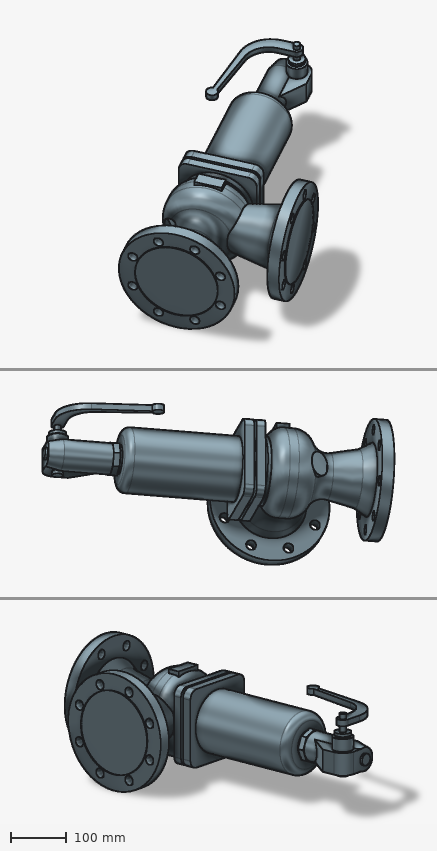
import cadquery as cq
import math


flange_radius = 220.0 / 2
flange_thickness = 24.5
raised_face_radius = 78.5
raised_face_height = 2.0
bolt_count = 8
bolt_hole_diameter = 18.0
bolt_circle_radius = 180.0 / 2
hub_radius = 67.5
overall_width = 285.0
center_to_face = overall_width - flange_radius

inlet_break_y = 48.0
inlet_break_radius = 53.5
throat_radius = 42.0
inlet_taper = 11.0
belly_radius = 81.5
belly_lower_arc = 40.0
belly_lower_y = 171.5
belly_lower_end_y = 136.0
belly_upper_arc = 31.0
belly_upper_y = 188.0
belly_top_y = 217.5
collar_radius = 63.0
collar_top_y = 224.5
collar_flare_radius = 68.0

outlet_break_x = 133.5
outlet_break_radius = 60.5
outlet_root_x = 19.0
outlet_root_radius = 37.5

square_half_width = 74.0
square_corner_radius = 17.0
lower_square_y = (231.5, 247.5)
upper_square_y = (252.5, 270.0)
gasket_radius = 67.5
bonnet_radius = 60.0
bonnet_top_y = 484.5
bonnet_fillet = 15.0

stem_neck_radius = 27.0
nut_y = (489.0, 501.0)
nut_sides = 8
nut_corner_radius = 32.0
cap_radius = 28.5
cap_cone_y = 592.5
cap_top_radius = 22.5
cap_top_y = 619.0
button_radius = 11.0
total_height = 623.5

ear_half_thickness = 21.0
ear_right_x = 55.0
ear_corner_radius = 25.0
ear_slope_top_y = 567.5
ear_tip = (18.0, 516.0)

shaft_x = 28.0
shaft_y = 592.5
shaft_radius = 6.0
shaft_top_z = 88.0
boss_radius = 19.5
boss_top_z = 45.0
gland_groove_radius = 14.0
washer_radius = 15.5
washer_z = (47.5, 53.5)
shaft_end_radius = 10.0
shaft_end_z = -28.5

lever_z = (67.0, 78.5)
lever_hub_radius = 23.0 / 2
lever_bend_x = -4.05
lever_outer_arc = 62.0
lever_outer_lean = 7.5
lever_inner_arc = 50.0
lever_inner_lean = 9.8
knob_x = -78.0
knob_y = 430.0
knob_radius = 22.0 / 2

plate_length = 52.5
plate_y = (177.0, 201.0)
plate_top_z = 85.5
drain_diameter = 45.0
drain_center = (-57.5, 128.5)
drain_tilt = 52.0
drain_depth = 37.5
drain_facing_clearance = 12.5


def point_on_arc(center, radius, degrees):
    angle = math.radians(degrees)
    return (center[0] + radius * math.cos(angle), center[1] + radius * math.sin(angle))


def disc(radius, y_start, y_end):
    """Cylinder on the valve axis between two heights."""
    return cq.Workplane("XZ").workplane(offset=-y_start).circle(radius).extrude(y_start - y_end)


def pin(radius, z_start, z_end):
    """Cylinder on the lever shaft axis between two Z levels."""
    plane = cq.Workplane("XY").workplane(offset=z_start)
    return plane.center(shaft_x, shaft_y).circle(radius).extrude(z_end - z_start)


def make_flange():
    """Flange on the valve axis with its sealing face at Y = 0."""
    flange = disc(flange_radius, raised_face_height, flange_thickness)
    flange = flange.union(disc(raised_face_radius, 0, raised_face_height))
    holes = (
        cq.Workplane("XZ")
        .polarArray(bolt_circle_radius, 180 / bolt_count, 360, bolt_count)
        .circle(bolt_hole_diameter / 2)
        .extrude(-flange_thickness)
    )
    return flange.cut(holes)


def make_body():
    """Inlet neck, belly and collar, revolved about the valve axis."""
    lower_center = (belly_radius - belly_lower_arc, belly_lower_y)
    lower_angle = math.degrees(math.asin((belly_lower_end_y - belly_lower_y) / belly_lower_arc))

    cosine = math.cos(math.radians(lower_angle))
    throat_arc = (lower_center[0] + belly_lower_arc * cosine - throat_radius) / (1 - cosine)
    throat_center = point_on_arc(lower_center, belly_lower_arc + throat_arc, lower_angle)
    throat_start_angle = 180 + inlet_taper
    throat_end_angle = 180 + lower_angle

    upper_center = (belly_radius - belly_upper_arc, belly_upper_y)
    upper_angle = math.degrees(math.asin((belly_top_y - belly_upper_y) / belly_upper_arc))

    profile = (
        cq.Workplane("XY")
        .moveTo(0, flange_thickness)
        .lineTo(hub_radius, flange_thickness)
        .lineTo(inlet_break_radius, inlet_break_y)
        .lineTo(*point_on_arc(throat_center, throat_arc, throat_start_angle))
        .threePointArc(
            point_on_arc(throat_center, throat_arc, (throat_start_angle + throat_end_angle) / 2),
            point_on_arc(throat_center, throat_arc, throat_end_angle),
        )
        .threePointArc(
            point_on_arc(lower_center, belly_lower_arc, lower_angle / 2),
            (belly_radius, belly_lower_y),
        )
        .lineTo(belly_radius, belly_upper_y)
        .threePointArc(
            point_on_arc(upper_center, belly_upper_arc, upper_angle / 2),
            point_on_arc(upper_center, belly_upper_arc, upper_angle),
        )
        .lineTo(collar_radius, belly_top_y)
        .lineTo(collar_radius, collar_top_y)
        .lineTo(collar_flare_radius, lower_square_y[0])
        .lineTo(0, lower_square_y[0])
        .close()
    )
    return profile.revolve(360, (0, 0, 0), (0, 1, 0))


def make_outlet():
    """Outlet neck and flange along +X."""
    flange_back_x = center_to_face - flange_thickness
    neck = (
        cq.Workplane("XY")
        .moveTo(outlet_root_x, center_to_face)
        .lineTo(outlet_root_x, center_to_face + outlet_root_radius)
        .lineTo(outlet_break_x, center_to_face + outlet_break_radius)
        .lineTo(flange_back_x, center_to_face + hub_radius)
        .lineTo(flange_back_x, center_to_face)
        .close()
        .revolve(360, (0, center_to_face, 0), (1, center_to_face, 0))
    )
    flange = make_flange().rotate((0, 0, 0), (0, 0, 1), 90)
    return neck.union(flange.translate((center_to_face, center_to_face, 0)))


def make_square_flange(y_range):
    thickness = y_range[1] - y_range[0]
    return (
        cq.Workplane("XZ")
        .workplane(offset=-y_range[0])
        .rect(2 * square_half_width, 2 * square_half_width)
        .extrude(-thickness)
        .edges("|Y")
        .fillet(square_corner_radius)
    )


def make_bonnet():
    barrel = disc(bonnet_radius, upper_square_y[1], bonnet_top_y)
    bonnet = barrel.faces(">Y").edges().fillet(bonnet_fillet)
    bonnet = bonnet.union(make_square_flange(lower_square_y))
    bonnet = bonnet.union(make_square_flange(upper_square_y))
    return bonnet.union(disc(gasket_radius, lower_square_y[1], upper_square_y[0]))


def make_cap():
    nut = (
        cq.Workplane("XZ")
        .workplane(offset=-nut_y[0])
        .polygon(nut_sides, 2 * nut_corner_radius)
        .extrude(nut_y[0] - nut_y[1])
    )
    shell = (
        cq.Workplane("XY")
        .moveTo(0, nut_y[1])
        .lineTo(cap_radius, nut_y[1])
        .lineTo(cap_radius, cap_cone_y)
        .lineTo(cap_top_radius, cap_top_y)
        .lineTo(0, cap_top_y)
        .close()
        .revolve(360, (0, 0, 0), (0, 1, 0))
    )
    ear = (
        cq.Workplane("XY")
        .moveTo(0, ear_tip[1])
        .lineTo(*ear_tip)
        .lineTo(ear_right_x, ear_slope_top_y)
        .lineTo(ear_right_x, cap_top_y - ear_corner_radius)
        .radiusArc((ear_right_x - ear_corner_radius, cap_top_y), -ear_corner_radius)
        .lineTo(0, cap_top_y)
        .close()
        .extrude(ear_half_thickness, both=True)
    )
    cap = shell.union(ear).union(nut)
    cap = cap.union(disc(stem_neck_radius, bonnet_top_y, nut_y[0]))
    return cap.union(disc(button_radius, cap_top_y, total_height))


def make_lever_shaft():
    shaft = pin(shaft_radius, 0, shaft_top_z)
    shaft = shaft.union(pin(boss_radius, 0, boss_top_z))
    shaft = shaft.union(pin(gland_groove_radius, boss_top_z, washer_z[0]))
    shaft = shaft.union(pin(washer_radius, *washer_z))
    return shaft.union(pin(shaft_end_radius, shaft_end_z, 0))


def make_lever():
    """Flat lever: round hub, bend, tapering arm and round knob."""
    thickness = lever_z[1] - lever_z[0]
    plane = cq.Workplane("XY").workplane(offset=lever_z[0])
    top_y = shaft_y + lever_hub_radius
    bottom_y = shaft_y - lever_hub_radius
    bend_middle = 135

    outer_center = (lever_bend_x, top_y - lever_outer_arc)
    outer_end = point_on_arc(outer_center, lever_outer_arc, 180 - lever_outer_lean)
    outer_drop = outer_end[1] - knob_y
    outer_foot_x = outer_end[0] - outer_drop * math.tan(math.radians(lever_outer_lean))

    inner_center = (lever_bend_x, bottom_y - lever_inner_arc)
    inner_end = point_on_arc(inner_center, lever_inner_arc, 180 - lever_inner_lean)
    inner_drop = inner_end[1] - knob_y
    inner_foot_x = inner_end[0] - inner_drop * math.tan(math.radians(lever_inner_lean))

    arm = (
        plane.moveTo(shaft_x, bottom_y)
        .threePointArc((shaft_x + lever_hub_radius, shaft_y), (shaft_x, top_y))
        .lineTo(lever_bend_x, top_y)
        .threePointArc(point_on_arc(outer_center, lever_outer_arc, bend_middle), outer_end)
        .lineTo(outer_foot_x, knob_y)
        .lineTo(inner_foot_x, knob_y)
        .lineTo(*inner_end)
        .threePointArc(
            point_on_arc(inner_center, lever_inner_arc, bend_middle), (lever_bend_x, bottom_y)
        )
        .close()
        .extrude(thickness)
    )
    knob = plane.center(knob_x, knob_y).circle(knob_radius).extrude(thickness)
    return arm.union(knob)


def make_name_plate():
    width = plate_y[1] - plate_y[0]
    plate = cq.Workplane("XY").center(0, plate_y[0] + width / 2)
    return plate.rect(plate_length, width).extrude(plate_top_z)


def make_drain_cylinder(length):
    """Cylinder from the tilted drain face, outward for a positive length, inward for a negative one."""
    tilt = math.radians(drain_tilt)
    face = cq.Plane(
        origin=(drain_center[0], drain_center[1], 0),
        xDir=(0, 0, 1),
        normal=(-math.sin(tilt), -math.cos(tilt), 0),
    )
    return cq.Workplane(face).circle(drain_diameter / 2).extrude(length)


def add_drain_boss(body):
    """Blind boss low on the -X side, its flat face faced off clear of the belly."""
    boss = make_drain_cylinder(-drain_depth)
    return body.union(boss).cut(make_drain_cylinder(drain_facing_clearance))


result = add_drain_boss(make_body())
for piece in (
    make_flange(),
    make_outlet(),
    make_bonnet(),
    make_cap(),
    make_lever_shaft(),
    make_lever(),
    make_name_plate(),
):
    result = result.union(piece)